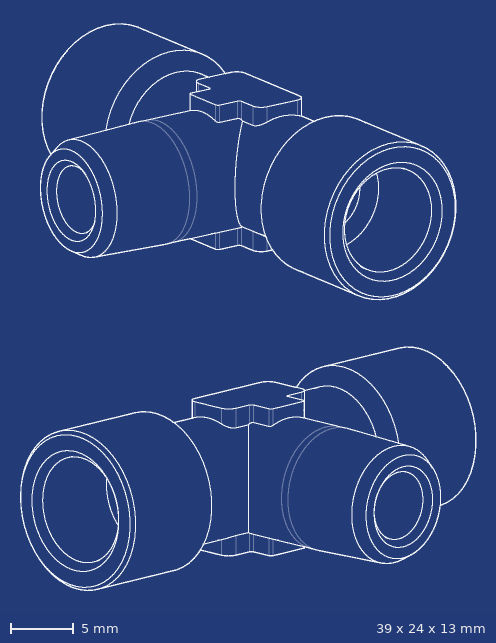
import cadquery as cq
import math

run_length = 39.0
tube_dia = 10.0
run_bore_dia = 6.0
collar_dia = 13.0
collar_length = 8.9
collar_cone_angle = 60.0
collar_edge_chamfer = 0.3

socket_dia = 8.58
socket_mouth_dia = 9.8
socket_depth = 7.8
drill_point_angle = 118.0

overall_depth = 24.0
branch_flare_start = 8.75
branch_taper_start = 9.48
branch_major_dia = 10.02
branch_tip_chamfer_start = 16.45
branch_taper = 1 / 16
branch_tip_dia = 8.42
branch_bore_dia = 5.5
branch_mouth_dia = 6.6

pad_height = 12.1
pad_width = 9.05
pad_depth = 4.6
pad_corner_radius = 0.8
stem_width = 3.9
stem_reach = 4.52
stem_corner_radius = 0.25

half_run = run_length / 2
tube_radius = tube_dia / 2
collar_radius = collar_dia / 2
socket_radius = socket_dia / 2
branch_reach = overall_depth - collar_radius
run_bore_radius = run_bore_dia / 2


def make_run():
    """Revolve the tube and both collars about the X axis."""
    collar_inner = half_run - collar_length
    cone_length = (collar_radius - tube_radius) / math.tan(math.radians(collar_cone_angle))
    half_profile = [
        (collar_inner - cone_length, tube_radius),
        (collar_inner, collar_radius),
        (half_run - collar_edge_chamfer, collar_radius),
        (half_run, collar_radius - collar_edge_chamfer),
        (half_run, 0),
    ]
    mirrored = [(-x, r) for x, r in reversed(half_profile)]
    profile = cq.Workplane("XY").polyline(half_profile + mirrored).close()
    return profile.revolve(360, (0, 0, 0), (1, 0, 0))


def make_run_cavity():
    """Through bore with a chamfered, cone-bottomed socket at each end."""
    mouth_radius = socket_mouth_dia / 2
    mouth_chamfer = mouth_radius - socket_radius
    socket_floor = half_run - socket_depth
    point_length = (socket_radius - run_bore_radius) / math.tan(math.radians(drill_point_angle / 2))
    half_profile = [
        (socket_floor - point_length, run_bore_radius),
        (socket_floor, socket_radius),
        (half_run - mouth_chamfer, socket_radius),
        (half_run, mouth_radius),
        (half_run, 0),
    ]
    mirrored = [(-x, r) for x, r in reversed(half_profile)]
    profile = cq.Workplane("XY").polyline(half_profile + mirrored).close()
    return profile.revolve(360, (0, 0, 0), (1, 0, 0))


def make_branch():
    """Revolve the straight root, slight flare, taper and tip chamfer about the Y axis."""
    taper_length = branch_tip_chamfer_start - branch_taper_start
    major_radius = branch_major_dia / 2
    taper_end_radius = major_radius - taper_length * branch_taper / 2
    profile = cq.Workplane("XY").polyline([
        (0, 0),
        (tube_radius, 0),
        (tube_radius, -branch_flare_start),
        (major_radius, -branch_taper_start),
        (taper_end_radius, -branch_tip_chamfer_start),
        (branch_tip_dia / 2, -branch_reach),
        (0, -branch_reach),
    ]).close()
    return profile.revolve(360, (0, 0, 0), (0, 1, 0))


def make_branch_cavity():
    """Bore from the run axis to the tip, chamfered at the mouth."""
    bore_radius = branch_bore_dia / 2
    mouth_radius = branch_mouth_dia / 2
    profile = cq.Workplane("XY").polyline([
        (0, 0),
        (bore_radius, 0),
        (bore_radius, -branch_reach + mouth_radius - bore_radius),
        (mouth_radius, -branch_reach),
        (0, -branch_reach),
    ]).close()
    return profile.revolve(360, (0, 0, 0), (0, 1, 0))


def make_pads():
    """T-shaped block through the centre whose ends form the two pads."""
    bar = cq.Workplane("XY").box(pad_width, pad_depth, pad_height)
    bar = bar.edges("|Z").fillet(pad_corner_radius)
    stem = cq.Workplane("XY").box(stem_width, stem_reach, pad_height)
    tee = bar.union(stem.translate((0, -stem_reach / 2, 0)))
    half_span = stem_width / 2 + stem_corner_radius
    stem_corners = cq.selectors.BoxSelector(
        (-half_span, -stem_reach - stem_corner_radius, -pad_height),
        (half_span, -pad_depth / 2 + stem_corner_radius, pad_height),
    )
    return tee.edges("|Z").edges(stem_corners).fillet(stem_corner_radius)


body = make_run().union(make_branch()).union(make_pads())
result = body.cut(make_run_cavity()).cut(make_branch_cavity())